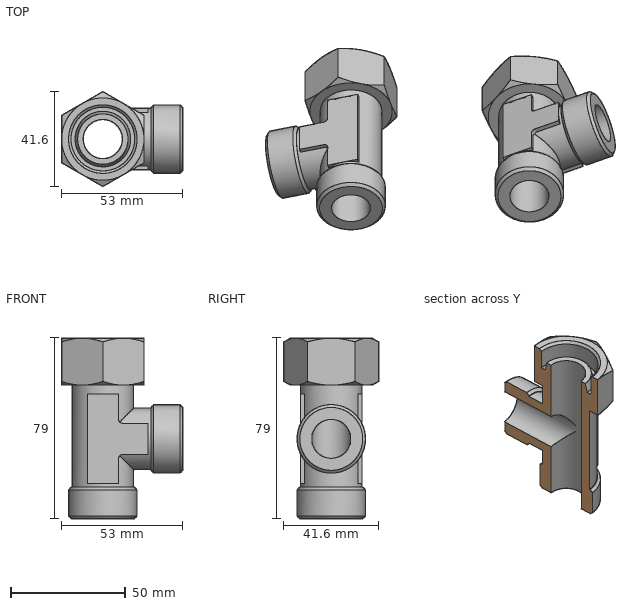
import cadquery as cq
import math

TUBE_DIAMETER = 27.0
BORE_DIAMETER = 17.0
RUN_BOTTOM = -35.0
RUN_TOP = 44.0
BRANCH_END = 35.0

COLLAR_DIAMETER = 30.0
COLLAR_LENGTH = 14.0
COLLAR_CHAMFER = 1.25

HEX_HALF_ANGLE = 180.0 / 6
NUT_ACROSS_FLATS = 36.0
NUT_HEIGHT = 20.5
NUT_BOTTOM = RUN_TOP - NUT_HEIGHT
NUT_CORNER_DIAMETER = NUT_ACROSS_FLATS / math.cos(math.radians(HEX_HALF_ANGLE))
NUT_CHAMFER_ANGLE = 30.0
NUT_FACE_DIAMETER = NUT_ACROSS_FLATS
NUT_BORE_DIAMETER = 27.84
NUT_MOUTH_DIAMETER = 30.0
NUT_BORE_DEPTH = 10.4

NOSE_TIP_DIAMETER = 22.0
NOSE_BASE_DIAMETER = 24.3
NOSE_RECESS = 6.0

PAD_WIDTH = 13.6
PAD_SPACING = TUBE_DIAMETER
PAD_HEIGHT = 39.2
PAD_BRANCH_END = 19.7
PAD_CORNER_RADIUS = 2.0


def cylinder(diameter, start, end):
    """Solid cylinder along Z between two heights."""
    return cq.Workplane("XY").workplane(offset=start).circle(diameter / 2).extrude(end - start)


def cone(start_diameter, end_diameter, start, end):
    """Solid of revolution tapering along Z between two heights."""
    return (
        cq.Workplane("XZ")
        .moveTo(0, start)
        .lineTo(start_diameter / 2, start)
        .lineTo(end_diameter / 2, end)
        .lineTo(0, end)
        .close()
        .revolve(360, (0, 0, 0), (0, 1, 0))
    )


def make_collar(tip):
    """Connection end pointing down -Z, with its tip face a distance `tip` below the origin."""
    collar = cylinder(COLLAR_DIAMETER, -tip, -tip + COLLAR_LENGTH)
    return collar.faces("<Z or >Z").chamfer(COLLAR_CHAMFER)


def along_branch(shape):
    """Turn a shape pointing down -Z so that it points along +X."""
    return shape.rotate((0, 0, 0), (0, 1, 0), -90)


def make_pads():
    """T-shaped block whose outer faces form the two flats."""
    corner_x = PAD_WIDTH / 2
    margin = 0.1
    upright = cq.Workplane("XY").box(PAD_WIDTH, PAD_SPACING, PAD_HEIGHT)
    arm = cq.Workplane("XY").box(
        PAD_BRANCH_END, PAD_SPACING, PAD_WIDTH, centered=(False, True, True)
    )
    inner_corners = cq.selectors.BoxSelector(
        (corner_x - margin, -PAD_SPACING, -PAD_WIDTH),
        (corner_x + margin, PAD_SPACING, PAD_WIDTH),
    )
    return upright.union(arm).edges("|Y").edges(inner_corners).fillet(PAD_CORNER_RADIUS)


def make_nut():
    """Hexagonal nut with both ends chamfered and two corners on the Y axis."""
    hexagon = (
        cq.Workplane("XY")
        .workplane(offset=NUT_BOTTOM)
        .polygon(6, NUT_CORNER_DIAMETER)
        .extrude(NUT_HEIGHT)
        .rotate((0, 0, 0), (0, 0, 1), HEX_HALF_ANGLE)
    )
    radial_drop = (NUT_CORNER_DIAMETER - NUT_FACE_DIAMETER) / 2
    chamfer_height = radial_drop * math.tan(math.radians(NUT_CHAMFER_ANGLE))
    envelope = (
        cylinder(NUT_CORNER_DIAMETER, NUT_BOTTOM, RUN_TOP)
        .faces("<Z or >Z")
        .chamfer(chamfer_height, radial_drop)
    )
    return hexagon.intersect(envelope)


def make_nut_cavity():
    """Open space of the nut: bore and countersunk mouth around the tapered nose."""
    floor = RUN_TOP - NUT_BORE_DEPTH
    mouth_depth = (NUT_MOUTH_DIAMETER - NUT_BORE_DIAMETER) / 2
    bore = cylinder(NUT_BORE_DIAMETER, floor, RUN_TOP)
    mouth = cone(NUT_BORE_DIAMETER, NUT_MOUTH_DIAMETER, RUN_TOP - mouth_depth, RUN_TOP)
    nose = cone(NOSE_BASE_DIAMETER, NOSE_TIP_DIAMETER, floor, RUN_TOP - NOSE_RECESS)
    return bore.union(mouth).cut(nose)


run = cylinder(TUBE_DIAMETER, RUN_BOTTOM, NUT_BOTTOM)
branch = along_branch(cylinder(TUBE_DIAMETER, -BRANCH_END, 0))
body = run.union(branch).union(make_pads())
body = body.union(make_collar(-RUN_BOTTOM)).union(along_branch(make_collar(BRANCH_END)))
body = body.union(make_nut()).cut(make_nut_cavity())

run_bore = cylinder(BORE_DIAMETER, RUN_BOTTOM, RUN_TOP)
branch_bore = along_branch(cylinder(BORE_DIAMETER, -BRANCH_END, 0))
result = body.cut(run_bore).cut(branch_bore)